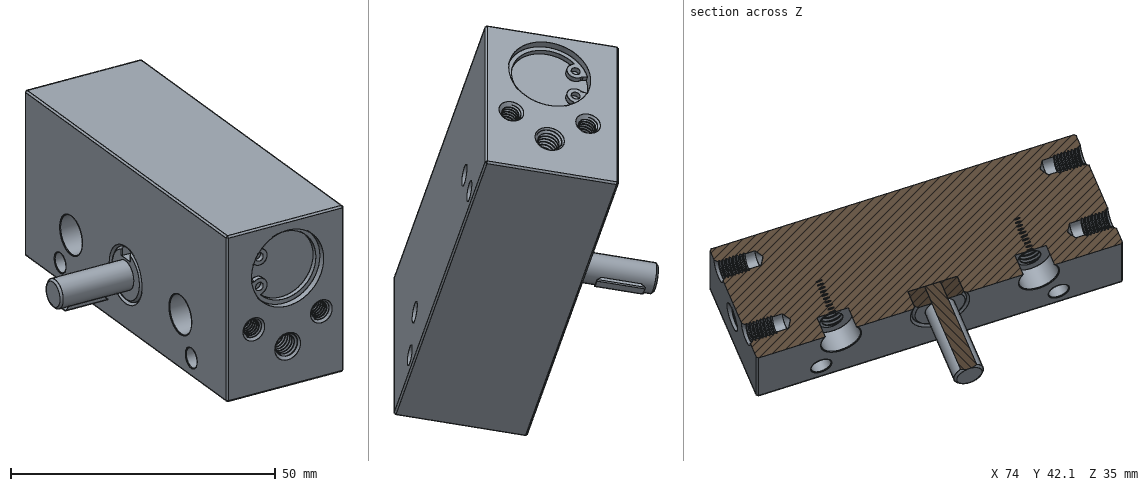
import cadquery as cq
import math

LENGTH = 74.0
DEPTH = 26.0
HEIGHT = 35.0
EDGE_CHAMFER = 0.4

SMALL_THREAD = (3.3, 4.0, 0.7)
LARGE_THREAD = (4.15, 5.1, 0.8)
THREAD_HALF_ANGLE = 30.0
THREAD_OVERLAP = 0.1
ROOT_FLAT_SHARE = 1 / 8
MOUNT_THREAD_LENGTH = 8.0
PORT_THREAD_LENGTH = 6.0
PORT_THREAD_PHASE = 180.0

MOUNT_X = 20.0
COUNTERBORE_DIA = 8.0
COUNTERBORE_DEPTH = 4.6
PIN_HOLE_X = 24.0
PIN_HOLE_Z = 4.0
PIN_HOLE_DIA = 4.0
HOLE_CHAMFER = 0.15

SHAFT_Z = 11.5
SHAFT_DIA = 6.0
SHAFT_REACH = 16.05
SHAFT_CHAMFER = 0.45
KEY_WIDTH = 2.0
KEY_LENGTH = 9.8
KEY_START = 4.3
KEY_DROP = 3.8
KEY_CHAMFER = 0.2
BUSH_DIA = 11.0
BUSH_LENGTH = 4.0
BUSH_CHAMFER = 0.48
BUSH_SLOT_WIDTH = 2.9
BUSH_SLOT_CHAMFER = 0.2
BUSH_SLOT_FLOOR = 3.5

BORE_Y = 13.5
BORE_Z = 25.0
BORE_DIA = 16.0
RING_RECESS = 1.4
RING_THICKNESS = 1.0
RING_WIDTH = 0.9
EAR_Y = 5.4
EAR_Z = 3.1
EAR_RADIUS = 1.7
EAR_HOLE_DIA = 1.7
EAR_GAP_ANGLE = 15.4
EAR_ROOT_ANGLE = 44.0
EAR_GAP_TILT = 11.0
EAR_ROOT_TILT = 39.0
PLUG_LENGTH = 5.0

SIDE_PORT_SPREAD = 7.5
SIDE_PORT_Z = 14.0
SIDE_PORT_MOUTH = 4.8
LOWER_PORT_Z = 8.5
LOWER_PORT_MOUTH = 5.7
PORT_DEPTH = 8.0
DRILL_TIP_ANGLE = 118.0

LEFT_END = -LENGTH / 2
FORWARD = cq.Vector(0, 1, 0)


def rod(diameter, y_start, length, x, z):
    """Cylinder along +Y."""
    return cq.Workplane(cq.Solid.makeCylinder(diameter / 2, length, cq.Vector(x, y_start, z), FORWARD))


def countersink(diameter, size, x, z):
    """45-degree funnel that breaks the front edge of a hole along Y."""
    return cq.Workplane(
        cq.Solid.makeCone(diameter / 2 + size, diameter / 2, size, cq.Vector(x, 0, z), FORWARD)
    )


def mirror_to_right(body):
    return body.mirror("YZ")


def end_plane(inset):
    """Plane parallel to the left end face, centred on the bore: local x is +Y, local y is +Z, normal +X."""
    return cq.Workplane("YZ", origin=(LEFT_END + inset, BORE_Y, BORE_Z))


def thread_groove(thread, length):
    """Helical V-groove that rises along +Z from Z = 0, starting half a turn below."""
    bore, root, pitch = thread
    inner = bore / 2 - THREAD_OVERLAP
    outer = root / 2
    start = -pitch / 2
    root_half = pitch * ROOT_FLAT_SHARE / 2
    inner_half = root_half + (outer - inner) * math.tan(math.radians(THREAD_HALF_ANGLE))
    section = cq.Workplane("XZ").polyline([
        (inner, start - inner_half),
        (outer, start - root_half),
        (outer, start + root_half),
        (inner, start + inner_half),
    ]).close()
    helix = cq.Wire.makeHelix(pitch, length - start, bore / 2, cq.Vector(0, 0, start))
    return section.sweep(cq.Workplane(helix), isFrenet=True)


def mount_thread(x):
    """Thread that starts at the counterbore floor and runs backwards."""
    groove = thread_groove(LARGE_THREAD, MOUNT_THREAD_LENGTH).rotate((0, 0, 0), (1, 0, 0), -90)
    return groove.translate((x, COUNTERBORE_DEPTH, SHAFT_Z))


def tapped_hole(y, z, thread, mouth):
    """Blind threaded hole from the left end face, with a 45-degree mouth and a conical tip."""
    radius = thread[0] / 2
    mouth_depth = mouth / 2 - radius
    tip = radius / math.tan(math.radians(DRILL_TIP_ANGLE / 2))
    profile = [
        (0, 0),
        (0, mouth / 2),
        (mouth_depth, radius),
        (PORT_DEPTH, radius),
        (PORT_DEPTH + tip, 0),
    ]
    drilled = cq.Workplane("XY").polyline(profile).close().revolve(360, (0, 0, 0), (1, 0, 0))
    groove = thread_groove(thread, PORT_THREAD_LENGTH).rotate((0, 0, 0), (0, 1, 0), 90)
    groove = groove.rotate((0, 0, 0), (1, 0, 0), PORT_THREAD_PHASE)
    return [tool.translate((LEFT_END, y, z)) for tool in (drilled, groove)]


def turn_to_right(tool):
    """Half turn about the vertical line through the bore, which keeps a thread right-handed."""
    return tool.rotate((0, BORE_Y, 0), (0, BORE_Y, 1), 180)


def make_housing():
    block = cq.Workplane("XY").box(LENGTH, DEPTH, HEIGHT, centered=(True, False, False))
    block = block.edges().chamfer(EDGE_CHAMFER)

    for x in (-MOUNT_X, MOUNT_X):
        block = block.cut(rod(LARGE_THREAD[0], 0, DEPTH, x, SHAFT_Z))
        block = block.cut(rod(COUNTERBORE_DIA, 0, COUNTERBORE_DEPTH, x, SHAFT_Z))
        block = block.cut(countersink(COUNTERBORE_DIA, HOLE_CHAMFER, x, SHAFT_Z))
        block = block.cut(mount_thread(x))

    for x in (-PIN_HOLE_X, PIN_HOLE_X):
        block = block.cut(rod(PIN_HOLE_DIA, 0, DEPTH, x, PIN_HOLE_Z))
        block = block.cut(countersink(PIN_HOLE_DIA, HOLE_CHAMFER, x, PIN_HOLE_Z))

    block = block.cut(rod(BUSH_DIA, 0, BUSH_LENGTH, 0, SHAFT_Z))
    block = block.cut(countersink(BUSH_DIA, BUSH_CHAMFER, 0, SHAFT_Z))

    bore_depth = RING_RECESS + RING_THICKNESS + PLUG_LENGTH
    bore = end_plane(0).circle(BORE_DIA / 2).extrude(bore_depth)
    block = block.cut(bore).cut(mirror_to_right(bore))

    ports = tapped_hole(BORE_Y, LOWER_PORT_Z, LARGE_THREAD, LOWER_PORT_MOUTH)
    for side in (-1, 1):
        y = BORE_Y + side * SIDE_PORT_SPREAD
        ports += tapped_hole(y, SIDE_PORT_Z, SMALL_THREAD, SIDE_PORT_MOUTH)
    for tool in ports:
        block = block.cut(tool).cut(turn_to_right(tool))
    return block


def make_shaft():
    """Round shaft, with its key standing on the underside as one piece."""
    shaft = rod(SHAFT_DIA, -SHAFT_REACH, SHAFT_REACH + BUSH_LENGTH, 0, SHAFT_Z)
    shaft = shaft.faces("<Y").chamfer(SHAFT_CHAMFER)

    key_top = -SHAFT_DIA / 4
    lean = KEY_DROP + key_top
    front = -KEY_START - KEY_LENGTH
    outline = [
        (-KEY_START, -KEY_DROP),
        (-KEY_START - lean, key_top),
        (front + lean, key_top),
        (front, -KEY_DROP),
    ]
    key = cq.Workplane("YZ", origin=(0, 0, SHAFT_Z)).polyline(outline).close()
    key = key.extrude(KEY_WIDTH / 2, both=True)
    key = key.faces("<Z").edges().chamfer(KEY_CHAMFER)
    return shaft.union(key)


def make_bush():
    bush = rod(BUSH_DIA, 0, BUSH_LENGTH, 0, SHAFT_Z).faces("<Y").chamfer(BUSH_CHAMFER)
    bush = bush.cut(rod(SHAFT_DIA, 0, BUSH_LENGTH, 0, SHAFT_Z))

    half = BUSH_SLOT_WIDTH / 2
    slot = cq.Workplane("XY", origin=(0, 0, SHAFT_Z + BUSH_SLOT_FLOOR)).polyline([
        (-half - BUSH_SLOT_CHAMFER, 0),
        (half + BUSH_SLOT_CHAMFER, 0),
        (half, BUSH_SLOT_CHAMFER),
        (half, BUSH_LENGTH),
        (-half, BUSH_LENGTH),
        (-half, BUSH_SLOT_CHAMFER),
    ]).close().extrude(BUSH_DIA / 2)
    return bush.cut(slot)


def make_plug():
    """Disc that closes the left end of the bore behind the retaining ring."""
    return end_plane(RING_RECESS + RING_THICKNESS).circle(BORE_DIA / 2).extrude(PLUG_LENGTH)


def polar(radius, degrees):
    """Point on a circle about the bore axis; zero degrees points to the ring gap on -Y."""
    angle = math.radians(degrees)
    return (-radius * math.cos(angle), radius * math.sin(angle))


def make_ring():
    """Internal retaining ring at the left end: open on -Y, with two drilled ears."""
    outer = BORE_DIA / 2
    inner = outer - RING_WIDTH
    plane = end_plane(RING_RECESS)
    ring = plane.circle(outer).circle(inner).extrude(RING_THICKNESS)

    gap_upper = polar(outer, EAR_GAP_ANGLE)
    gap_lower = polar(outer, -EAR_GAP_ANGLE)
    gap = plane.polyline([(0, 0), gap_upper, (-BORE_DIA, 0), gap_lower]).close().extrude(RING_THICKNESS)
    ring = ring.cut(gap)

    gap_side = math.radians(EAR_GAP_TILT)
    root_side = math.radians(EAR_ROOT_TILT)
    gap_tangent = (-EAR_Y + EAR_RADIUS * math.sin(gap_side), EAR_Z - EAR_RADIUS * math.cos(gap_side))
    root_tangent = (-EAR_Y + EAR_RADIUS * math.sin(root_side), EAR_Z + EAR_RADIUS * math.cos(root_side))
    web = [gap_tangent, gap_upper, polar(outer, EAR_ROOT_ANGLE), polar(inner, EAR_ROOT_ANGLE), root_tangent]
    ear = plane.polyline(web).close().extrude(RING_THICKNESS)
    ear = ear.union(plane.center(-EAR_Y, EAR_Z).circle(EAR_RADIUS).extrude(RING_THICKNESS))
    ear = ear.cut(plane.center(-EAR_Y, EAR_Z).circle(EAR_HOLE_DIA / 2).extrude(RING_THICKNESS))
    return ring.union(ear).union(ear.mirror("XY", (0, 0, BORE_Z)))


housing = make_housing()
shaft = make_shaft()
bush = make_bush()
left_plug = make_plug()
left_ring = make_ring()
plugs = [left_plug, mirror_to_right(left_plug)]
rings = [left_ring, mirror_to_right(left_ring)]

result = cq.Compound.makeCompound(
    [body.val() for body in (housing, shaft, bush, *plugs, *rings)]
)